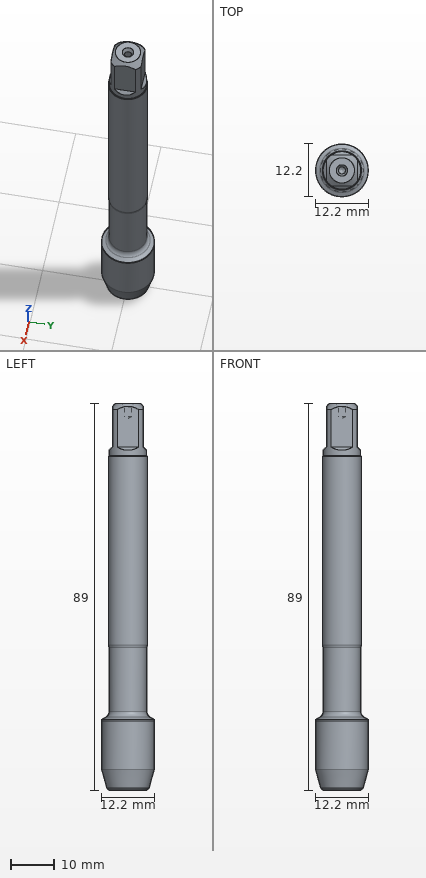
import cadquery as cq
import math

total_length = 89.0
thread_top_z = 16.0
square_length = 12.0
square_base_z = total_length - square_length

head_radius = 12.15 / 2
lead_length = 4.8
tip_radius = 8.64 / 2
tip_chamfer = 0.6

shank_radius = 9.0 / 2
neck_radius = 8.7 / 2
step_top_z = 33.4
step_angle = math.radians(15)
shoulder_rim_height = 0.3
shoulder_slope = math.radians(30)
neck_fillet_radius = 1.5

square_width = 7.1
square_corner_radius = 8.64 / 2
flat_base_height = 2.0
flat_count = 4
cutter_overrun = 1.0
top_face_radius = 2.9

hole_radius = 1.6 / 2
hole_depth = 3.0
countersink_radius = 1.3
drill_half_angle = math.radians(60)
countersink_half_angle = math.radians(30)


def make_cutting_head():
    """Threaded head with a tapered lead and a chamfered tip, from Z = 0 up."""
    lead_start_radius = tip_radius + tip_chamfer
    return (
        cq.Workplane("XZ")
        .moveTo(0, 0)
        .lineTo(tip_radius, 0)
        .lineTo(lead_start_radius, tip_chamfer)
        .lineTo(head_radius, lead_length)
        .lineTo(head_radius, thread_top_z)
        .lineTo(0, thread_top_z)
        .close()
        .revolve(360, (0, 0, 0), (0, 1, 0))
    )


def make_shank_blank():
    """Turned body from the shoulder up to the chamfered top face, before the square is milled."""
    cone_base_z = thread_top_z + shoulder_rim_height
    step_base_z = step_top_z - (shank_radius - neck_radius) / math.tan(step_angle)
    end_chamfer = shank_radius - square_corner_radius
    top_chamfer = square_corner_radius - top_face_radius

    turn = math.pi / 2 - shoulder_slope
    cone_top_radius = neck_radius + neck_fillet_radius * (1 - math.cos(turn))
    cone_top_z = cone_base_z + (head_radius - cone_top_radius) * math.tan(shoulder_slope)
    neck_base_z = cone_top_z + neck_fillet_radius * math.sin(turn)
    fillet_middle = (
        neck_radius + neck_fillet_radius * (1 - math.cos(turn / 2)),
        neck_base_z - neck_fillet_radius * math.sin(turn / 2),
    )
    return (
        cq.Workplane("XZ")
        .moveTo(0, thread_top_z)
        .lineTo(head_radius, thread_top_z)
        .lineTo(head_radius, cone_base_z)
        .lineTo(cone_top_radius, cone_top_z)
        .threePointArc(fillet_middle, (neck_radius, neck_base_z))
        .lineTo(neck_radius, step_base_z)
        .lineTo(shank_radius, step_top_z)
        .lineTo(shank_radius, square_base_z - end_chamfer)
        .lineTo(square_corner_radius, square_base_z)
        .lineTo(square_corner_radius, total_length - top_chamfer)
        .lineTo(top_face_radius, total_length)
        .lineTo(0, total_length)
        .close()
        .revolve(360, (0, 0, 0), (0, 1, 0))
    )


def make_flat_cutter():
    """Wedge-footed block that mills one flat of the square and its 45 degree run-out."""
    flat_x = square_width / 2
    flat_base_z = square_base_z + flat_base_height
    reach = shank_radius + cutter_overrun
    cutter_top_z = total_length + cutter_overrun
    return (
        cq.Workplane("XZ")
        .moveTo(flat_x, flat_base_z)
        .lineTo(flat_x, cutter_top_z)
        .lineTo(reach, cutter_top_z)
        .lineTo(reach, flat_base_z - (reach - flat_x))
        .close()
        .extrude(reach, both=True)
    )


def make_center_hole():
    """Countersunk blind hole with a drill-point bottom, as a solid to remove."""
    hole_base_z = total_length - hole_depth
    cone_depth = hole_radius / math.tan(drill_half_angle)
    countersink_depth = (countersink_radius - hole_radius) / math.tan(countersink_half_angle)
    return (
        cq.Workplane("XZ")
        .moveTo(0, hole_base_z - cone_depth)
        .lineTo(hole_radius, hole_base_z)
        .lineTo(hole_radius, total_length - countersink_depth)
        .lineTo(countersink_radius, total_length)
        .lineTo(0, total_length)
        .close()
        .revolve(360, (0, 0, 0), (0, 1, 0))
    )


def make_shank():
    """Shank with its driving square and center hole."""
    shank = make_shank_blank()
    for index in range(flat_count):
        shank = shank.cut(make_flat_cutter().rotate((0, 0, 0), (0, 0, 1), 360 / flat_count * index))
    return shank.cut(make_center_hole())


cutting_head = make_cutting_head()
shank = make_shank()
result = cq.Compound.makeCompound([cutting_head.val(), shank.val()])